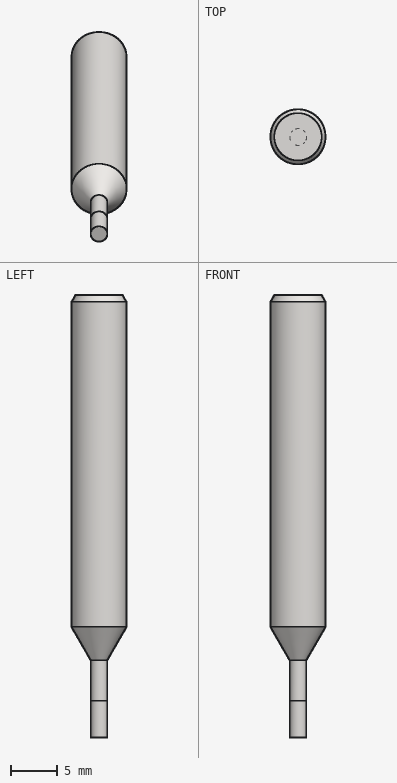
import cadquery as cq
import math

TOTAL_LENGTH = 48.0
SHANK_DIAMETER = 6.0
NECK_DIAMETER = 1.8
TIP_LENGTH = 4.0
SHANK_BOTTOM_Z = 12.0
CONE_HALF_ANGLE = 30.0
CHAMFER_WIDTH = 0.45
CHAMFER_HEIGHT = 0.75

SHANK_RADIUS = SHANK_DIAMETER / 2
NECK_RADIUS = NECK_DIAMETER / 2
CONE_HEIGHT = (SHANK_RADIUS - NECK_RADIUS) / math.tan(math.radians(CONE_HALF_ANGLE))
NECK_TOP_Z = SHANK_BOTTOM_Z - CONE_HEIGHT


def make_shank():
    """Shank with a chamfered top, a conical transition and a slim neck, revolved as one solid."""
    return (
        cq.Workplane("XZ")
        .moveTo(0, TIP_LENGTH)
        .lineTo(NECK_RADIUS, TIP_LENGTH)
        .lineTo(NECK_RADIUS, NECK_TOP_Z)
        .lineTo(SHANK_RADIUS, SHANK_BOTTOM_Z)
        .lineTo(SHANK_RADIUS, TOTAL_LENGTH - CHAMFER_HEIGHT)
        .lineTo(SHANK_RADIUS - CHAMFER_WIDTH, TOTAL_LENGTH)
        .lineTo(0, TOTAL_LENGTH)
        .close()
        .revolve(360, (0, 0, 0), (0, 1, 0))
    )


def make_tip():
    """Plain cylindrical tip, seated flat against the end of the neck."""
    return cq.Workplane("XY").circle(NECK_RADIUS).extrude(TIP_LENGTH)


shank = make_shank()
tip = make_tip()

result = cq.Compound.makeCompound([shank.val(), tip.val()])